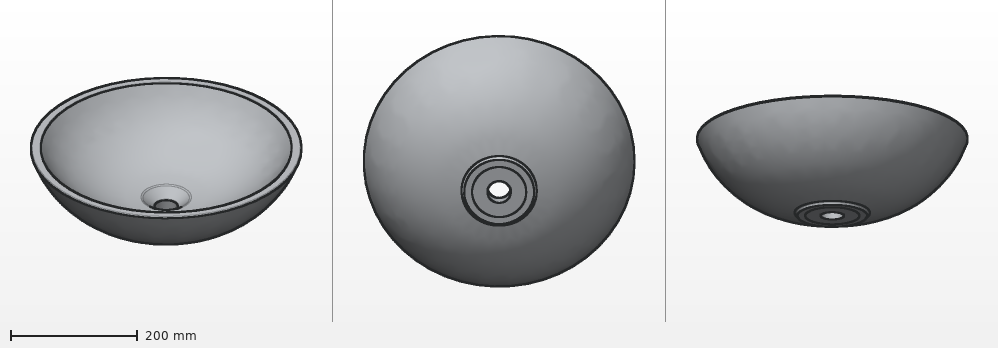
import cadquery as cq
import math

outer_radius = 214.0
height = 130.0

rim_edge_radius = 2.0
rim_inner_radius = 198.5
rim_inner_rounding = 1.3

outer_mid_radius = 162.8
outer_mid_height = 52.0
inner_mid_radius = 133.0
inner_mid_height = 64.5

mouth_outer_radius = 40.0
mouth_outer_height = 37.5
cone_top_radius = 37.0
cone_top_height = 36.5
hole_radius = 18.5
hole_rounding = 1.3
cone_bottom_height = 22.3

foot_radius = 55.3
foot_height = 5.0
foot_flare = 4.3
hub_radius = 43.0

diagonal = math.sqrt(0.5)


def revolve_profile(profile):
    """Turn a closed profile in the XZ plane once around the Z axis."""
    return profile.close().revolve(360, (0, 0, 0), (0, 1, 0))


def make_bowl():
    """Bowl with curved walls, rounded rim, drain and a hub that fits inside the foot."""
    rim_edge_mid = (
        outer_radius - rim_edge_radius * (1 - diagonal),
        height - rim_edge_radius * (1 - diagonal),
    )
    rim_inner_mid = (
        rim_inner_radius + rim_inner_rounding * (1 - diagonal),
        height - rim_inner_rounding * (1 - diagonal),
    )
    profile = (
        cq.Workplane("XZ")
        .moveTo(hole_radius, 0)
        .lineTo(hub_radius, 0)
        .lineTo(hub_radius, foot_height)
        .lineTo(foot_radius + foot_flare, foot_height)
        .threePointArc((outer_mid_radius, outer_mid_height), (outer_radius, height - rim_edge_radius))
        .threePointArc(rim_edge_mid, (outer_radius - rim_edge_radius, height))
        .lineTo(rim_inner_radius + rim_inner_rounding, height)
        .threePointArc(rim_inner_mid, (rim_inner_radius, height - rim_inner_rounding))
        .threePointArc((inner_mid_radius, inner_mid_height), (mouth_outer_radius, mouth_outer_height))
        .lineTo(cone_top_radius, cone_top_height)
        .lineTo(hole_radius + hole_rounding, cone_bottom_height)
        .lineTo(hole_radius, cone_bottom_height - hole_rounding)
    )
    return revolve_profile(profile)


def make_foot():
    """Ring under the bowl whose outer side flares out in a concave round."""
    flare_start = foot_height - foot_flare
    flare_mid = (
        foot_radius + foot_flare * (1 - diagonal),
        flare_start + foot_flare * diagonal,
    )
    profile = (
        cq.Workplane("XZ")
        .moveTo(hub_radius, 0)
        .lineTo(foot_radius, 0)
        .lineTo(foot_radius, flare_start)
        .threePointArc(flare_mid, (foot_radius + foot_flare, foot_height))
        .lineTo(hub_radius, foot_height)
    )
    return revolve_profile(profile)


bowl = make_bowl()
foot = make_foot()

result = cq.Compound.makeCompound([bowl.val(), foot.val()])